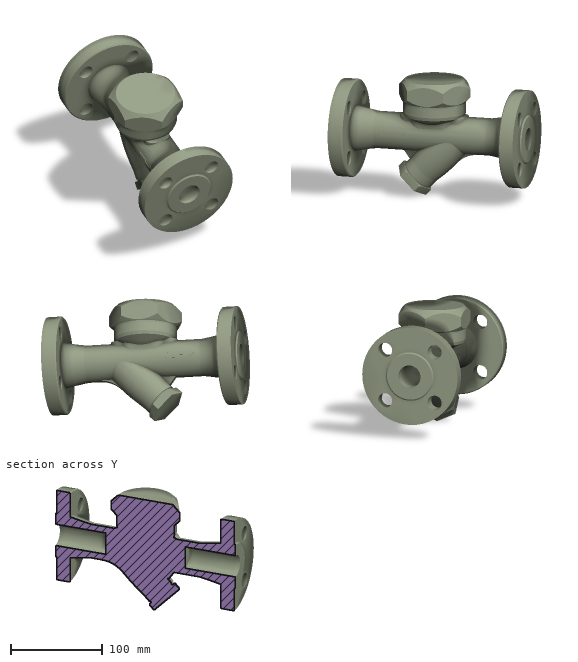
import cadquery as cq
import math

overall_length = 215.0
half_length = overall_length / 2
pipe_diameter = 41.0
pipe_radius = pipe_diameter / 2
bore_diameter = 25.0
bore_depth = 60.0
flange_diameter = 108.0
flange_thickness = 16.5
flange_chamfer = 1.2
raised_face_height = 1.5
raised_face_diameter = 51.0
raised_face_base_diameter = 54.0
bolt_circle_diameter = 79.4
bolt_hole_diameter = 16.0
bolt_count = 4
hub_diameter = 50.0
hub_length = 25.0
hub_sag = 0.2

cover_top_z = 61.2
cover_bottom_z = 36.3
cover_across_flats = 71.0
cover_top_diameter = 65.0
neck_diameter = 69.5
neck_wall_bottom_z = 24.4
neck_rim_diameter = 67.0
neck_rim_z = 20.8
neck_base_diameter = 36.0
neck_base_z = 12.8

long_block_length = 75.0
long_block_width = 29.0
long_block_corner = 10.0
short_block_length = 56.5
short_block_width = 37.4
short_block_corner = 16.0
block_top_z = 22.2
block_bevel_height = 1.7
block_bevel_width = 4.0

leg_origin_x = -28.8
leg_angle = 45.0
leg_diameter = 38.0
leg_root_diameter = 37.6
leg_bulge_diameter = 41.0
leg_bulge_distance = 38.0
leg_taper_end = 55.5
leg_end = 66.0
plug_neck_diameter = 36.0
plug_start = 68.0
plug_end = 77.0
plug_across_flats = 38.0
plug_bevel = 1.0

web_thickness = 6.0
web_heel_x = -52.5
web_heel_leg_distance = 36.0
web_toe_x = 34.0
web_toe_foot_x = 28.0
web_toe_foot_z = -29.0

arrow_height = 0.5
arrow_tail_x = 26.5
arrow_tail_notch = 3.5
arrow_shaft_x = 43.0
arrow_head_x = 52.0
arrow_tip_x = 59.0
arrow_half_width = 4.2
arrow_shaft_half_width = 1.4


def corner_diameter(across_flats):
    """Diameter of the circle through the corners of a hexagon."""
    return across_flats / math.cos(math.pi / 6)


def flanged_pipe():
    """Pipe with a tapered hub, a flange and a raised face at each end."""
    flange_front = half_length - raised_face_height
    flange_back = flange_front - flange_thickness
    hub_start = flange_back - hub_length
    hub_mid = (flange_back + hub_start) / 2
    hub_radius = hub_diameter / 2
    hub_mid_radius = (hub_radius + pipe_radius) / 2 - hub_sag
    flange_radius = flange_diameter / 2
    half = (
        cq.Workplane("XY")
        .moveTo(0, 0)
        .lineTo(0, pipe_radius)
        .lineTo(hub_start, pipe_radius)
        .threePointArc((hub_mid, hub_mid_radius), (flange_back, hub_radius))
        .lineTo(flange_back, flange_radius - flange_chamfer)
        .lineTo(flange_back + flange_chamfer, flange_radius)
        .lineTo(flange_front, flange_radius)
        .lineTo(flange_front, raised_face_base_diameter / 2)
        .lineTo(half_length, raised_face_diameter / 2)
        .lineTo(half_length, 0)
        .close()
        .revolve(360, (0, 0, 0), (1, 0, 0))
    )
    bolt_holes = (
        cq.Workplane("YZ")
        .polarArray(bolt_circle_diameter / 2, 360 / bolt_count / 2, 360, bolt_count)
        .circle(bolt_hole_diameter / 2)
        .extrude(half_length)
    )
    half = half.cut(bolt_holes)
    return half.union(half.mirror("YZ"))


def cover():
    """Hexagonal cover, its corners bevelled at 45 degrees above and below."""
    height = cover_top_z - cover_bottom_z
    corner_radius = corner_diameter(cover_across_flats) / 2
    top_radius = cover_top_diameter / 2
    bottom_radius = neck_diameter / 2
    top_bevel = corner_radius - top_radius
    bottom_bevel = corner_radius - bottom_radius
    hexagon = (
        cq.Workplane("XY")
        .polygon(6, 2 * corner_radius)
        .extrude(height)
    )
    envelope = (
        cq.Workplane("XZ")
        .moveTo(0, 0)
        .lineTo(bottom_radius, 0)
        .lineTo(corner_radius, bottom_bevel)
        .lineTo(corner_radius, height - top_bevel)
        .lineTo(top_radius, height)
        .lineTo(0, height)
        .close()
        .revolve(360, (0, 0, 0), (0, 1, 0))
    )
    return hexagon.intersect(envelope).translate((0, 0, cover_bottom_z))


def neck():
    """Round neck under the cover, closed below by a shallow bowl."""
    radius = neck_diameter / 2
    return (
        cq.Workplane("XZ")
        .moveTo(0, neck_base_z)
        .lineTo(neck_base_diameter / 2, neck_base_z)
        .lineTo(neck_rim_diameter / 2, neck_rim_z)
        .lineTo(radius, neck_wall_bottom_z)
        .lineTo(radius, cover_bottom_z)
        .lineTo(0, cover_bottom_z)
        .close()
        .revolve(360, (0, 0, 0), (0, 1, 0))
    )


def neck_block(length, width, corner):
    """Rounded block from the pipe axis up into the neck, bevelled around its top."""
    return (
        cq.Workplane("XY")
        .rect(length, width)
        .extrude(block_top_z)
        .edges("|Z")
        .fillet(corner)
        .faces(">Z")
        .chamfer(block_bevel_height, block_bevel_width)
    )


def strainer_leg():
    """Slanted leg with a hexagonal plug, built along Z and tilted into place."""
    plug_corner_radius = corner_diameter(plug_across_flats) / 2
    bulge = (leg_bulge_diameter / 2, leg_bulge_distance)
    taper_end = (leg_diameter / 2, leg_taper_end)
    barrel = (
        cq.Workplane("XZ")
        .moveTo(0, 0)
        .lineTo(leg_root_diameter / 2, 0)
        .spline([bulge, taper_end], includeCurrent=True)
        .lineTo(leg_diameter / 2, leg_end)
        .lineTo(plug_neck_diameter / 2, leg_end)
        .lineTo(plug_neck_diameter / 2, plug_start)
        .lineTo(0, plug_start)
        .close()
        .revolve(360, (0, 0, 0), (0, 1, 0))
    )
    plug = (
        cq.Workplane("XY")
        .workplane(offset=plug_start)
        .polygon(6, 2 * plug_corner_radius)
        .extrude(plug_end - plug_start)
    )
    bevel = (
        cq.Workplane("XY")
        .workplane(offset=plug_start)
        .circle(plug_corner_radius)
        .extrude(plug_end - plug_start)
        .faces("<Z")
        .chamfer(plug_bevel)
    )
    leg = barrel.union(plug.intersect(bevel))
    tilt = 90 + leg_angle
    return leg.rotate((0, 0, 0), (0, 1, 0), tilt).translate((leg_origin_x, 0, 0))


def leg_point(distance, offset):
    """XZ position at a distance along the leg axis and an offset up and towards +X."""
    angle = math.radians(leg_angle)
    x = leg_origin_x + distance * math.cos(angle) + offset * math.sin(angle)
    z = -distance * math.sin(angle) + offset * math.cos(angle)
    return (x, z)


def webs():
    """Curved web behind the leg and a small straight one in front of it."""
    foot = leg_point(web_heel_leg_distance, -leg_bulge_diameter / 2)
    core = leg_point(web_heel_leg_distance, 0)
    heel = (
        cq.Workplane("XZ")
        .moveTo(web_heel_x, -pipe_radius)
        .spline([foot], tangents=[(1, 0), (1, -1)], includeCurrent=True)
        .lineTo(core[0], core[1])
        .lineTo(leg_origin_x, 0)
        .lineTo(web_heel_x, 0)
        .close()
        .extrude(web_thickness / 2, both=True)
    )
    toe = (
        cq.Workplane("XZ")
        .moveTo(web_toe_x, -pipe_radius)
        .lineTo(web_toe_foot_x, web_toe_foot_z)
        .lineTo(core[0], core[1])
        .lineTo(web_toe_x, 0)
        .close()
        .extrude(web_thickness / 2, both=True)
    )
    return heel.union(toe)


def flow_arrow():
    """Arrow pointing to +X that stands out of both sides of the pipe."""
    taper = arrow_half_width - arrow_shaft_half_width
    upper = [
        (arrow_tail_x, arrow_half_width),
        (arrow_shaft_x - taper, arrow_half_width),
        (arrow_shaft_x, arrow_shaft_half_width),
        (arrow_head_x, arrow_shaft_half_width),
        (arrow_head_x, arrow_half_width),
    ]
    lower = [(x, -z) for x, z in reversed(upper)]
    notch = (arrow_tail_x + arrow_tail_notch, 0)
    prism = (
        cq.Workplane("XZ")
        .polyline(upper + [(arrow_tip_x, 0)] + lower + [notch])
        .close()
        .extrude(pipe_diameter, both=True)
    )
    shell = (
        cq.Workplane("YZ")
        .circle(pipe_radius + arrow_height)
        .extrude(half_length - flange_thickness)
    )
    return prism.intersect(shell)


def bores():
    """Blind flow passages entering from both ends."""
    bore = (
        cq.Workplane("YZ")
        .workplane(offset=half_length - bore_depth)
        .circle(bore_diameter / 2)
        .extrude(bore_depth)
    )
    return bore.union(bore.mirror("YZ"))


long_block = neck_block(long_block_length, long_block_width, long_block_corner)
short_block = neck_block(short_block_length, short_block_width, short_block_corner)

result = (
    flanged_pipe()
    .union(long_block)
    .union(short_block)
    .union(neck())
    .union(cover())
    .union(webs())
    .union(strainer_leg())
    .union(flow_arrow())
    .cut(bores())
)